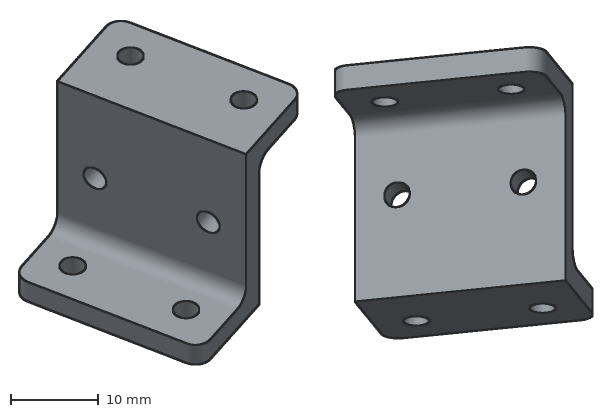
import cadquery as cq

width = 25.0
height = 25.0
depth = 23.0
thickness = 3.0
inner_fillet_radius = 2.0
corner_radius = 2.0

hole_diameter = 3.0
hole_spacing = 15.0
hole_edge_distance = 5.0

half_depth = depth / 2
half_web = thickness / 2
flange_hole_y = half_depth - hole_edge_distance
hole_x_positions = (-hole_spacing / 2, hole_spacing / 2)


def make_profile_body():
    """Extrude the Z profile along X, centred on the YZ plane, with its base at Z = 0."""
    profile = [
        (-half_depth, 0),
        (half_web, 0),
        (half_web, height - thickness),
        (half_depth, height - thickness),
        (half_depth, height),
        (-half_web, height),
        (-half_web, thickness),
        (-half_depth, thickness),
    ]
    return cq.Workplane("YZ").polyline(profile).close().extrude(width / 2, both=True)


def round_edges(body):
    """Fillet the two inside bends and round the free corners of both flanges."""
    nearest_to = cq.selectors.NearestToPointSelector
    body = body.edges(nearest_to((0, -half_web, thickness))).fillet(inner_fillet_radius)
    body = body.edges(nearest_to((0, half_web, height - thickness))).fillet(inner_fillet_radius)
    for free_end in ("<Y", ">Y"):
        body = body.faces(free_end).edges("|Z").fillet(corner_radius)
    return body


def flange_holes():
    """Vertical cylinders for the hole pair in each flange."""
    centers = [(x, y) for x in hole_x_positions for y in (-flange_hole_y, flange_hole_y)]
    return cq.Workplane("XY").pushPoints(centers).circle(hole_diameter / 2).extrude(height)


def web_holes():
    """Cylinders along Y for the hole pair at mid-height of the web."""
    centers = [(x, height / 2) for x in hole_x_positions]
    return cq.Workplane("XZ").pushPoints(centers).circle(hole_diameter / 2).extrude(thickness, both=True)


result = round_edges(make_profile_body()).cut(flange_holes()).cut(web_holes())